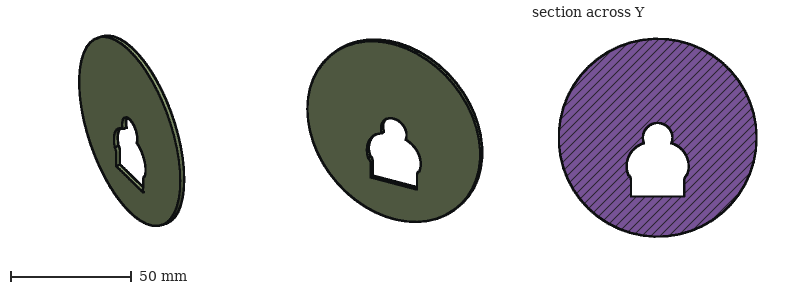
import cadquery as cq
import math

disc_diameter = 82.0
thickness = 2.0

head_radius = 6.1
shoulder_radius = 9.9
shoulder_center_x = 2.9
shoulder_center_z = -11.8
base_half_width = 11.0
base_bottom_z = -24.3
neck_z = -2.3
shoulder_end_z = -15.4
base_top_z = -17.55
blend_radius = 2.55


def shoulder_x(z):
    """X of the right shoulder arc at height z."""
    return shoulder_center_x + math.sqrt(shoulder_radius**2 - (z - shoulder_center_z) ** 2)


def mirrored(point):
    return (-point[0], point[1])


neck = (shoulder_x(neck_z), neck_z)
shoulder_side = (shoulder_center_x + shoulder_radius, shoulder_center_z)
shoulder_end = (shoulder_x(shoulder_end_z), shoulder_end_z)
base_top = (base_half_width, base_top_z)
base_corner = (base_half_width, base_bottom_z)

disc = cq.Workplane("XZ", origin=(0, thickness / 2, 0)).circle(disc_diameter / 2).extrude(thickness)

body = (
    cq.Workplane("XZ", origin=(0, thickness / 2, 0))
    .moveTo(*neck)
    .threePointArc(shoulder_side, shoulder_end)
    .radiusArc(base_top, -blend_radius)
    .lineTo(*base_corner)
    .lineTo(*mirrored(base_corner))
    .lineTo(*mirrored(base_top))
    .radiusArc(mirrored(shoulder_end), -blend_radius)
    .threePointArc(mirrored(shoulder_side), mirrored(neck))
    .close()
    .extrude(thickness)
)
head = cq.Workplane("XZ", origin=(0, thickness / 2, 0)).circle(head_radius).extrude(thickness)

result = disc.cut(body.union(head))